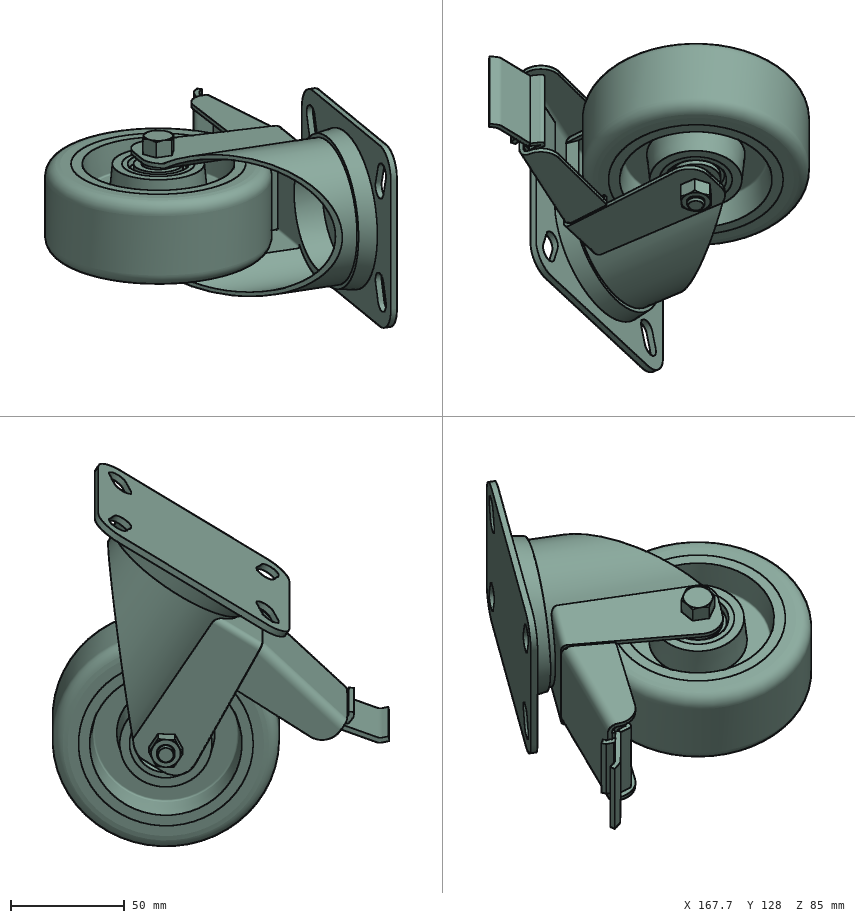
import cadquery as cq
import math


sheet = 2.0
lever_sheet = 2.3
leaf_sheet = 1.5

wheel_radius = 50.0
wheel_width = 40.0
face_z = wheel_width / 2
shoulder_z = 14.0
shoulder_radius = 45.5
side_face_radius = 43.3
rim_radius = 77.0 / 2
rim_mouth_radius = 33.5
rim_floor_radius = 32.0
hub_mouth_radius = 20.3
hub_floor_radius = 21.6
disc_half_thickness = 5.9
pocket_fillet = 0.8
bushing_radius = 32.0 / 2

sleeve_radius = 15.0 / 2
groove_mouth_radius = 27.0 / 2
groove_floor_radius = 12.6
groove_inner_radius = 10.9
groove_depth = 2.5

bolt_radius = 4.0
bolt_tip_radius = 3.4
bolt_end_z = -34.7
bolt_tip_length = 1.3
hex_across_flats = 13.0
head_height = 7.7
nut_height = 7.0

plate_length = 100.0
plate_width = 85.0
plate_thickness = 3.0
plate_corner_radius = 12.0
plate_top_y = 78.0
plate_bottom_y = plate_top_y - plate_thickness
swivel_x = 35.2
slot_width = 9.0
slot_length = 17.5
slot_tilt = 18.5
slot_x = 38.6
slot_z = 26.2

head_radius = 32.9
collar_top_radius = 36.0
collar_bottom_radius = 34.7
collar_top_y = 74.5
collar_bottom_y = 66.1
neck_radius = 33.5
head_bore_radius = 27.0
leg_outer_z = 25.5
leg_inner_z = leg_outer_z - sheet
leg_top_y = 63.6
leg_bend_radius = 3.2
leg_end_radius = 10.0
leg_end_x = 5.0
leg_top_x = -9.9
slant_top_x = swivel_x + head_radius
slant_top_y = 59.0

housing_outer_z = 24.5
housing_bend_radius = 4.7
housing_front_x = -61.0
housing_front_y = 52.7
housing_top_y = 63.5
housing_tab_inner_z = 20.1

lever_half_width = 19.1
hook_half_width = 15.8
lever_bend_fillet = 3.4


def tangent_angle(center, radius, point, side):
    """Angle of the point where a line from point touches a circle, on the chosen side."""
    dx = point[0] - center[0]
    dy = point[1] - center[1]
    return math.atan2(dy, dx) + side * math.acos(radius / math.hypot(dx, dy))


def on_circle(center, radius, angle):
    """Point of a circle at an angle in radians."""
    return (center[0] + radius * math.cos(angle), center[1] + radius * math.sin(angle))


front_center = (-leg_end_x, 0)
rear_center = (leg_end_x, 0)
front_top = (leg_top_x, leg_top_y)
slant_top = (slant_top_x, slant_top_y)
front_angle = tangent_angle(front_center, leg_end_radius, front_top, 1)
slant_angle = tangent_angle(rear_center, leg_end_radius, slant_top, -1)
front_bottom = on_circle(front_center, leg_end_radius, front_angle)
slant_bottom = on_circle(rear_center, leg_end_radius, slant_angle)


def front_edge_x(y):
    """X of the straight front edge of the fork at height y."""
    share = (y - front_bottom[1]) / (front_top[1] - front_bottom[1])
    return front_bottom[0] + share * (front_top[0] - front_bottom[0])


def make_plate():
    plate = (
        cq.Workplane("XZ", origin=(swivel_x, plate_bottom_y, 0))
        .rect(plate_length, plate_width)
        .extrude(-plate_thickness)
        .edges("|Y")
        .fillet(plate_corner_radius)
    )
    for side_x in (-1, 1):
        for side_z in (-1, 1):
            slot = (
                cq.Workplane("XZ", origin=(swivel_x + side_x * slot_x, plate_bottom_y, side_z * slot_z))
                .transformed(rotate=(0, 0, 90 - side_x * side_z * slot_tilt))
                .slot2D(slot_length, slot_width)
                .extrude(-plate_thickness)
            )
            plate = plate.cut(slot)
    return plate


def rounded_channel(half_width, top_y, bend_radius):
    """Solid bar from ahead of the legs to the swivel axis, rounded along its two top edges."""
    front_x = -2 * leg_end_radius
    bottom_y = -2 * leg_end_radius
    return (
        cq.Workplane("XY")
        .box(swivel_x - front_x, top_y - bottom_y, 2 * half_width, centered=(False, False, True))
        .translate((front_x, bottom_y, 0))
        .edges("|X and >Y")
        .fillet(bend_radius)
    )


def vertical_cylinder(radius, top_y):
    """Cylinder on the swivel axis, from below the legs up to top_y."""
    bottom_y = -2 * leg_end_radius
    return (
        cq.Workplane("XZ", origin=(swivel_x, bottom_y, 0))
        .circle(radius)
        .extrude(bottom_y - top_y)
    )


def make_fork():
    ceiling_y = leg_top_y - sheet
    outside = rounded_channel(leg_outer_z, leg_top_y, leg_bend_radius)
    outside = outside.union(vertical_cylinder(head_radius, collar_bottom_y))

    inside = vertical_cylinder(head_radius - sheet, ceiling_y)
    inside = inside.union(rounded_channel(leg_inner_z, ceiling_y, leg_bend_radius - sheet))

    side = (
        cq.Workplane("XY", origin=(0, 0, -head_radius))
        .moveTo(*front_bottom)
        .threePointArc(
            on_circle(front_center, leg_end_radius, (front_angle + 1.5 * math.pi) / 2),
            (front_center[0], -leg_end_radius),
        )
        .lineTo(rear_center[0], -leg_end_radius)
        .threePointArc(
            on_circle(rear_center, leg_end_radius, (slant_angle - 0.5 * math.pi) / 2),
            slant_bottom,
        )
        .lineTo(*slant_top)
        .lineTo(slant_top_x, collar_bottom_y)
        .lineTo(front_edge_x(collar_bottom_y), collar_bottom_y)
        .close()
        .extrude(2 * head_radius)
    )
    fork = outside.cut(inside).intersect(side)

    collar = (
        cq.Workplane("XY", origin=(swivel_x, 0, 0))
        .moveTo(0, collar_bottom_y)
        .lineTo(collar_bottom_radius, collar_bottom_y)
        .lineTo(collar_top_radius, collar_top_y)
        .lineTo(neck_radius, collar_top_y)
        .lineTo(neck_radius, plate_bottom_y)
        .lineTo(0, plate_bottom_y)
        .close()
        .revolve(360, (0, 0), (0, 1))
    )
    axle_hole = cq.Workplane("XY").circle(bolt_radius).extrude(leg_outer_z, both=True)
    head_bore = vertical_cylinder(head_bore_radius, plate_bottom_y)
    return fork.union(collar).cut(head_bore).cut(axle_hole)


def make_tyre():
    shoulder_arc_radius = 5.9
    arc_center = (wheel_radius - shoulder_arc_radius, shoulder_z)
    end_angle = math.acos((shoulder_radius - arc_center[0]) / shoulder_arc_radius)
    arc_mid = on_circle(arc_center, shoulder_arc_radius, end_angle / 2)
    arc_end = on_circle(arc_center, shoulder_arc_radius, end_angle)
    return (
        cq.Workplane("XZ")
        .moveTo(rim_radius, -face_z)
        .lineTo(side_face_radius, -face_z)
        .lineTo(arc_end[0], -arc_end[1])
        .threePointArc((arc_mid[0], -arc_mid[1]), (wheel_radius, -shoulder_z))
        .lineTo(wheel_radius, shoulder_z)
        .threePointArc(arc_mid, arc_end)
        .lineTo(side_face_radius, face_z)
        .lineTo(rim_radius, face_z)
        .close()
        .revolve(360, (0, 0), (0, 1))
    )


def make_wheel_core():
    core = cq.Workplane("XY").circle(rim_radius).circle(bushing_radius).extrude(face_z, both=True)
    pocket = (
        cq.Workplane("XZ")
        .polyline([
            (hub_floor_radius, disc_half_thickness),
            (rim_floor_radius, disc_half_thickness),
            (rim_mouth_radius, face_z),
            (hub_mouth_radius, face_z),
        ])
        .close()
        .revolve(360, (0, 0), (0, 1))
        .faces("<Z")
        .edges(cq.selectors.RadiusNthSelector(-1))
        .fillet(pocket_fillet)
    )
    return core.cut(pocket).cut(pocket.mirror("XY"))


def make_bushing():
    bushing = cq.Workplane("XY").circle(bushing_radius).extrude(face_z, both=True)
    groove = (
        cq.Workplane("XZ")
        .polyline([
            (groove_inner_radius, face_z - groove_depth),
            (groove_floor_radius, face_z - groove_depth),
            (groove_mouth_radius, face_z),
            (groove_inner_radius, face_z),
        ])
        .close()
        .revolve(360, (0, 0), (0, 1))
    )
    sleeve = cq.Workplane("XY").circle(sleeve_radius).extrude(leg_inner_z, both=True)
    bore = cq.Workplane("XY").circle(bolt_radius).extrude(leg_inner_z, both=True)
    return bushing.cut(groove).cut(groove.mirror("XY")).union(sleeve).cut(bore)


def hex_block(height):
    """Hexagon standing on a leg, corners toward +Y and -Y, with a 30 degree chamfer on top."""
    corner_diameter = hex_across_flats / math.cos(math.radians(30))
    flat_radius = hex_across_flats / 2
    chamfer_reach = corner_diameter
    chamfer_drop = (chamfer_reach - flat_radius) * math.tan(math.radians(30))
    block = (
        cq.Workplane("XY", origin=(0, 0, leg_outer_z))
        .transformed(rotate=(0, 0, 90))
        .polygon(6, corner_diameter)
        .extrude(height)
    )
    top_z = leg_outer_z + height
    envelope = (
        cq.Workplane("XZ")
        .polyline([
            (0, leg_outer_z),
            (chamfer_reach, leg_outer_z),
            (chamfer_reach, top_z - chamfer_drop),
            (flat_radius, top_z),
            (0, top_z),
        ])
        .close()
        .revolve(360, (0, 0), (0, 1))
    )
    return block.intersect(envelope)


def make_bolt():
    tip_inset = bolt_radius - bolt_tip_radius
    shank = (
        cq.Workplane("XY", origin=(0, 0, bolt_end_z))
        .circle(bolt_radius)
        .extrude(leg_outer_z - bolt_end_z)
        .faces("<Z")
        .chamfer(bolt_tip_length, tip_inset)
    )
    return shank.union(hex_block(head_height))


def make_nut():
    hole = cq.Workplane("XY", origin=(0, 0, leg_outer_z)).circle(bolt_radius).extrude(nut_height)
    return hex_block(nut_height).cut(hole).mirror("XY")


housing_back_x = front_edge_x(housing_top_y)
housing_slope = (housing_top_y - housing_front_y) / (housing_back_x - housing_front_x)
housing_tilt = math.atan(housing_slope)


def web_underside_y(x):
    """Height of the underside of the housing web."""
    return housing_front_y + housing_slope * (x - housing_front_x) - sheet / math.cos(housing_tilt)


def make_brake_housing():
    bottom_front = (-50.3, 38.5)
    bottom_back_y = 39.3
    bottom_back_x = front_edge_x(bottom_back_y)
    nose_start = (-60.4, 46.0)
    nose_mid = (-57.5, 41.0)
    body = (
        cq.Workplane("XY", origin=(0, 0, -housing_outer_z))
        .moveTo(housing_front_x, housing_front_y)
        .lineTo(*nose_start)
        .threePointArc(nose_mid, bottom_front)
        .lineTo(bottom_back_x, bottom_back_y)
        .lineTo(housing_back_x, housing_top_y)
        .close()
        .extrude(2 * housing_outer_z)
    )
    top_edges = cq.selectors.BoxSelector(
        (housing_front_x, housing_front_y, -2 * housing_outer_z),
        (housing_back_x, housing_top_y + sheet, 2 * housing_outer_z),
    )
    body = body.edges(top_edges).edges("not |Z").fillet(housing_bend_radius)

    channel_length = 100.7
    channel_height = 50.3
    hollow = (
        cq.Workplane("XY")
        .box(channel_length, channel_height, 2 * (housing_outer_z - sheet))
        .edges("|X and >Y")
        .fillet(housing_bend_radius - sheet)
        .translate((0, -channel_height / 2, 0))
        .rotate((0, 0, 0), (0, 0, 1), math.degrees(housing_tilt))
        .translate((housing_front_x, web_underside_y(housing_front_x), 0))
    )

    tabs = (
        cq.Workplane("XY", origin=(0, 0, -housing_outer_z))
        .polyline([
            (bottom_back_x, bottom_back_y),
            (housing_back_x, housing_top_y),
            (housing_back_x - sheet, housing_top_y),
            (bottom_back_x - sheet, bottom_back_y),
        ])
        .close()
        .extrude(2 * housing_outer_z)
    )
    wheel_gap = cq.Workplane("XY").box(channel_length, 2 * housing_top_y, 2 * housing_tab_inner_z)
    return body.cut(hollow.cut(tabs.cut(wheel_gap)))


def bent_sheet(points, thickness, half_width):
    """Sheet along Z of the given thickness and half width whose middle line runs through the points."""
    half = thickness / 2
    headings = [
        math.atan2(end[1] - start[1], end[0] - start[0])
        for start, end in zip(points, points[1:])
    ]
    before = [headings[0]] + headings
    after = headings + [headings[-1]]
    left = []
    right = []
    for (x, y), heading_in, heading_out in zip(points, before, after):
        normal = (heading_in + heading_out + math.pi) / 2
        miter = half / math.cos((heading_out - heading_in) / 2)
        left.append(on_circle((x, y), miter, normal))
        right.append(on_circle((x, y), -miter, normal))
    return (
        cq.Workplane("XY", origin=(0, 0, -half_width))
        .polyline(left + right[::-1])
        .close()
        .extrude(2 * half_width)
    )


def make_brake_lever():
    bend = (-78.7, 51.7)
    pedal = bent_sheet([(-81.7, 54.7), bend, (-60.2, 47.8)], lever_sheet, lever_half_width)
    for side in (-1, 1):
        bend_edge = cq.selectors.NearestToPointSelector((bend[0], bend[1] + side * lever_sheet / 2, 0))
        pedal = pedal.edges("|Z").edges(bend_edge).fillet(lever_bend_fillet)

    leaf_drop = (leaf_sheet / 2) / math.cos(housing_tilt)
    leaf_start_x = -60.7
    leaf_end_x = -28.0
    leaf_start = (leaf_start_x, web_underside_y(leaf_start_x) - leaf_drop)
    leaf_end = (leaf_end_x, web_underside_y(leaf_end_x) - leaf_drop)
    leaf = bent_sheet([leaf_start, leaf_end], leaf_sheet, lever_half_width)

    curl_sheet = 1.5
    curl_back_x = -56.0
    curl_top_y = web_underside_y(curl_back_x) - leaf_drop
    curl = (
        cq.Workplane("XY", origin=(0, 0, -lever_half_width))
        .moveTo(-61.0, 46.8)
        .lineTo(-59.4, 43.0)
        .threePointArc((-57.5, 41.6), (curl_back_x, 43.5))
        .lineTo(curl_back_x, curl_top_y)
        .lineTo(curl_back_x - curl_sheet, curl_top_y)
        .lineTo(curl_back_x - curl_sheet, 44.0)
        .lineTo(-59.4, 47.8)
        .close()
        .extrude(2 * lever_half_width)
    )

    hook = bent_sheet(
        [(-61.8, 55.4), (-62.6, 53.7), (-62.5, 50.7), (-61.8, 49.0)],
        lever_sheet,
        hook_half_width,
    )
    return pedal.union(curl).union(leaf).union(hook)


plate = make_plate()
fork = make_fork()
tyre = make_tyre()
wheel_core = make_wheel_core()
bushing = make_bushing()
bolt = make_bolt()
nut = make_nut()
brake_housing = make_brake_housing()
brake_lever = make_brake_lever()

result = cq.Compound.makeCompound([
    plate.val(),
    fork.val(),
    tyre.val(),
    wheel_core.val(),
    bushing.val(),
    bolt.val(),
    nut.val(),
    brake_housing.val(),
    brake_lever.val(),
])